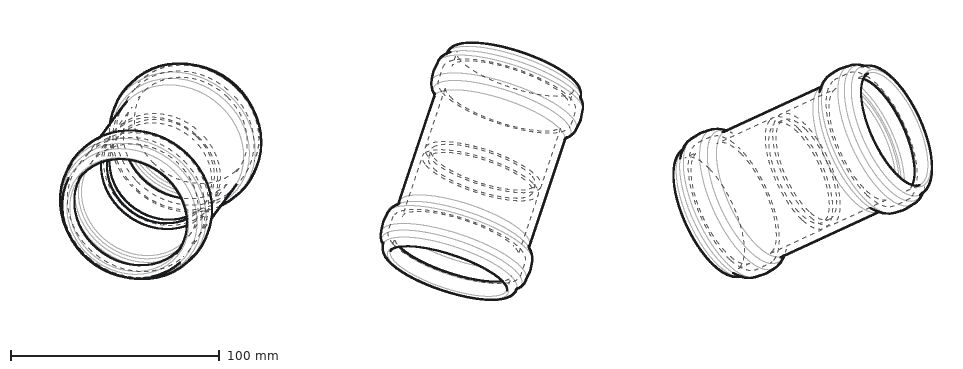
import cadquery as cq

length = 107.0
half_length = length / 2

body_radius = 66.1 / 2
lip_radius = 67.6 / 2
bulge_radius = 74.4 / 2
bulge_edge_radius = 36.6
front_flank_radius = 35.3
rear_flank_radius = 34.7
lip_depth = 3.2
front_flank_depth = 6.2
bulge_start = 9.1
bulge_end = 18.5
rear_flank_depth = 21.6
body_start = 25.8

mouth_radius = 58.8 / 2
mouth_round = 1.1
socket_radius = 58.5 / 2
stop_radius = 52.5 / 2
stop_width = 4.3
groove_radius = 33.5
groove_start = 8.1
groove_end = 19.6
groove_round = 1.2

rim_radius = mouth_radius + mouth_round


def at(radius, depth):
    """Profile point at a radius and at a depth from the mouth on the -Y side."""
    return (radius, depth - half_length)


def sleeve_half():
    """Half of the plain sleeve, from the mouth at -Y to the middle plane."""
    bulge_middle = (bulge_start + bulge_end) / 2
    profile = (
        cq.Workplane("XY")
        .moveTo(*at(socket_radius, half_length))
        .lineTo(*at(socket_radius, groove_start))
        .lineTo(*at(mouth_radius, groove_start))
        .lineTo(*at(mouth_radius, mouth_round))
        .tangentArcPoint(at(rim_radius, 0), relative=False)
        .tangentArcPoint(at(lip_radius, lip_depth), relative=False)
        .tangentArcPoint(at(front_flank_radius, front_flank_depth), relative=False)
        .tangentArcPoint(at(bulge_edge_radius, bulge_start), relative=False)
        .threePointArc(at(bulge_radius, bulge_middle), at(bulge_edge_radius, bulge_end))
        .tangentArcPoint(at(rear_flank_radius, rear_flank_depth), relative=False)
        .tangentArcPoint(at(body_radius, body_start), relative=False)
        .lineTo(*at(body_radius, half_length))
        .close()
    )
    return profile.revolve(360, (0, 0, 0), (0, 1, 0))


def seal_groove():
    """Ring cut from the socket wall: flared rounds at the opening, rounded floor corners."""
    r = groove_round
    profile = (
        cq.Workplane("XY")
        .moveTo(*at(stop_radius, groove_start))
        .lineTo(*at(mouth_radius, groove_start))
        .radiusArc(at(mouth_radius + r, groove_start + r), r)
        .lineTo(*at(groove_radius - r, groove_start + r))
        .radiusArc(at(groove_radius, groove_start + 2 * r), -r)
        .lineTo(*at(groove_radius, groove_end - 2 * r))
        .radiusArc(at(groove_radius - r, groove_end - r), -r)
        .lineTo(*at(socket_radius + r, groove_end - r))
        .radiusArc(at(socket_radius, groove_end), r)
        .lineTo(*at(stop_radius, groove_end))
        .close()
    )
    return profile.revolve(360, (0, 0, 0), (0, 1, 0))


def stop_ring():
    """Square-edged ring that limits how far each pipe goes in."""
    middle_radius = (socket_radius + body_radius) / 2
    return (
        cq.Workplane("XZ")
        .circle(middle_radius)
        .circle(stop_radius)
        .extrude(stop_width / 2, both=True)
    )


socket = sleeve_half().cut(seal_groove())
result = socket.union(socket.mirror("XZ")).union(stop_ring()).clean()